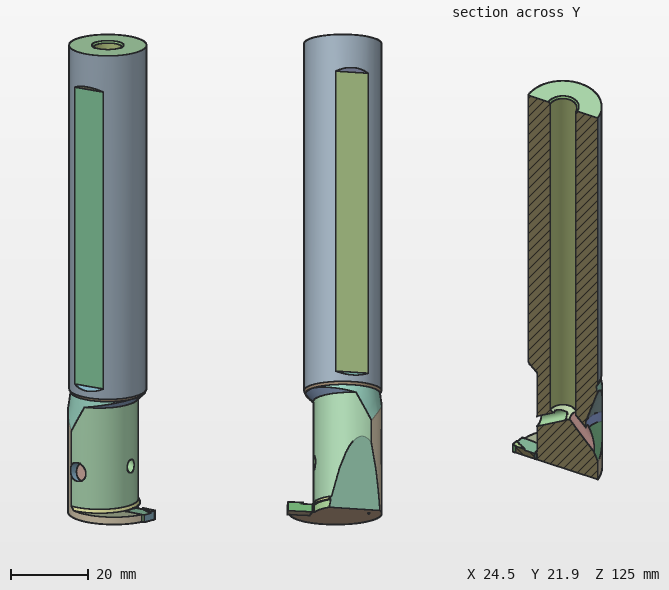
import cadquery as cq
import math

SHANK_RADIUS = 10.0
TOTAL_HEIGHT = 125.0
PIP_HEIGHT = 0.2
SHANK_TOP = TOTAL_HEIGHT - PIP_HEIGHT
SHANK_BOTTOM = 32.7
SHANK_CHAMFER = 0.7

FLAT_DISTANCE = 9.0
FLAT_BOTTOM = 34.5
FLAT_TOP = 116.0
FLAT_DEPTH = SHANK_RADIUS - FLAT_DISTANCE

DISC_RADIUS = 11.9
DISC_OFFSET = DISC_RADIUS - SHANK_RADIUS
DISC_THICKNESS = 2.0
NECK_RADIUS = SHANK_RADIUS
NECK_OFFSET = -2.5
NECK_TOP = 30.0
NECK_FLARE_TOP = SHANK_BOTTOM - SHANK_CHAMFER
NECK_BASE_WIDTH = 0.5
NECK_BASE_HEIGHT = 0.9

TRIM_TOP_RADIUS = 9.6
TRIM_ANGLE = 8.0

RELIEF_TOP_Z = 18.5
RELIEF_BOTTOM_Y = 6.2

BORE_RADIUS = 3.6
BORE_CHAMFER = 0.5
BORE_FLOOR = 18.7
BORE_POINT_HALF_ANGLE = 59.0
BORE_POINT_HEIGHT = BORE_RADIUS / math.tan(math.radians(BORE_POINT_HALF_ANGLE))

POCKET_RADIUS = 6.2
POCKET_Y = -0.7
POCKET_DEPTH = 3.5
POCKET_ENTRY_Z = 30.2
POCKET_INNER_TOP = 18.7
POCKET_INNER_BOTTOM = 15.4
POCKET_EXIT_Z = 6.4

CHANNEL_DIAMETER = 3.0
CHANNEL_OVERRUN = 7.5
POCKET_CHANNEL_START = cq.Vector(0, -1.1, 22.0)
POCKET_CHANNEL_MOUTH = cq.Vector(-6.7, -0.4, 14.1)
SIDE_CHANNEL_START = cq.Vector(0, -0.6, 18.1)
SIDE_CHANNEL_MOUTH = cq.Vector(NECK_RADIUS + NECK_OFFSET, -0.6, 13.2)

RECESS_DIAMETER = 4.9
RECESS_MOUTH = cq.Vector(-3.0, -10.0, 12.4)
RECESS_DIRECTION = cq.Vector(0.2, 1.0, -0.2).normalized()
RECESS_DEPTH = 2.4
RECESS_OVERRUN = 2.5

PIP_RADIUS = 0.2
PIP_X = -6.2
PIP_Y = 2.7

INSERT_TIP_X = 14.5
INSERT_TIP_Y = -0.1
INSERT_ANGLE = -4.5
INSERT_LENGTH = 6.4
INSERT_WIDTH = 4.1
INSERT_END_INSET = 0.5
TIP_LAND = 0.7
TIP_RAISE = 0.4
RAISE_LENGTH = 4.0
RAISE_WIDTH = 1.9


def cylinder(radius, bottom, top, x=0.0):
    return cq.Workplane("XY", origin=(x, 0, bottom)).circle(radius).extrude(top - bottom)


def cone(bottom_radius, top_radius, bottom, top, x=0.0):
    solid = cq.Solid.makeCone(bottom_radius, top_radius, top - bottom, cq.Vector(x, 0, bottom))
    return cq.Workplane("XY").newObject([solid])


def make_shank():
    shank = cylinder(SHANK_RADIUS, SHANK_BOTTOM - SHANK_CHAMFER, SHANK_TOP)
    shank = shank.faces("<Z").chamfer(SHANK_CHAMFER, SHANK_RADIUS - TRIM_TOP_RADIUS)
    for side in (-1, 1):
        flat_cut = (
            cq.Workplane("YZ")
            .polyline([
                (side * SHANK_RADIUS, FLAT_BOTTOM),
                (side * FLAT_DISTANCE, FLAT_BOTTOM + FLAT_DEPTH),
                (side * FLAT_DISTANCE, FLAT_TOP - FLAT_DEPTH),
                (side * SHANK_RADIUS, FLAT_TOP),
            ])
            .close()
            .extrude(SHANK_RADIUS, both=True)
        )
        shank = shank.cut(flat_cut)
    return shank


def make_neck():
    """Lens-shaped neck where the disc and neck cylinders overlap, trimmed by the cone."""
    flare_height = NECK_FLARE_TOP - NECK_TOP
    neck = cylinder(NECK_RADIUS, 0, NECK_TOP, NECK_OFFSET)
    flare = cone(NECK_RADIUS, NECK_RADIUS + flare_height, NECK_TOP, NECK_FLARE_TOP, NECK_OFFSET)
    base_top = DISC_THICKNESS + NECK_BASE_HEIGHT
    base = cone(NECK_RADIUS + NECK_BASE_WIDTH, NECK_RADIUS, DISC_THICKNESS, base_top, NECK_OFFSET)
    trim_growth = NECK_FLARE_TOP * math.tan(math.radians(TRIM_ANGLE))
    trim = cone(TRIM_TOP_RADIUS + trim_growth, TRIM_TOP_RADIUS, 0, NECK_FLARE_TOP)
    envelope = cylinder(DISC_RADIUS, 0, NECK_FLARE_TOP, DISC_OFFSET)
    return neck.union(flare).union(base).intersect(envelope).intersect(trim)


def make_disc():
    """Part of the disc on the -Y side, ending level with the insert tip."""
    disc = cylinder(DISC_RADIUS, 0, DISC_THICKNESS, DISC_OFFSET)
    half = cq.Workplane("XY", origin=(0, INSERT_TIP_Y, 0)).box(
        4 * DISC_RADIUS, 2 * DISC_RADIUS, DISC_THICKNESS, centered=(True, False, False)
    )
    return disc.cut(half)


def make_relief_cut():
    return (
        cq.Workplane("YZ")
        .polyline([
            (RELIEF_BOTTOM_Y, 0),
            (SHANK_RADIUS, RELIEF_TOP_Z),
            (2 * SHANK_RADIUS, RELIEF_TOP_Z),
            (2 * SHANK_RADIUS, 0),
        ])
        .close()
        .extrude(2 * DISC_RADIUS, both=True)
    )


def make_bore():
    bore = cylinder(BORE_RADIUS, BORE_FLOOR, SHANK_TOP)
    point = cone(0, BORE_RADIUS, BORE_FLOOR - BORE_POINT_HEIGHT, BORE_FLOOR)
    mouth = cone(BORE_RADIUS, BORE_RADIUS + BORE_CHAMFER, SHANK_TOP - BORE_CHAMFER, SHANK_TOP)
    return bore.union(point).union(mouth)


def make_pocket():
    """Groove of constant level cross-section that slopes in, runs straight down and slopes out."""
    outer_x = -SHANK_RADIUS - POCKET_RADIUS
    inner_x = outer_x + POCKET_DEPTH
    stations = [
        (2 * outer_x - inner_x, 2 * POCKET_ENTRY_Z - POCKET_INNER_TOP),
        (inner_x, POCKET_INNER_TOP),
        (inner_x, POCKET_INNER_BOTTOM),
        (2 * outer_x - inner_x, 2 * POCKET_EXIT_Z - POCKET_INNER_BOTTOM),
    ]
    pocket = cq.Workplane("XY")
    for (upper_x, upper_z), (lower_x, lower_z) in zip(stations, stations[1:]):
        leg = (
            cq.Workplane(cq.Plane((upper_x, POCKET_Y, upper_z), xDir=(-1, 0, 0)))
            .circle(POCKET_RADIUS)
            .workplane(offset=lower_z - upper_z)
            .center(upper_x - lower_x, 0)
            .circle(POCKET_RADIUS)
            .loft(ruled=True)
        )
        pocket = pocket.union(leg)
    return pocket


def make_channel(start, mouth):
    direction = mouth - start
    length = direction.Length + CHANNEL_OVERRUN
    return cq.Solid.makeCylinder(CHANNEL_DIAMETER / 2, length, start, direction)


def make_recess():
    outer_point = RECESS_MOUTH - RECESS_DIRECTION * RECESS_OVERRUN
    length = RECESS_OVERRUN + RECESS_DEPTH
    return cq.Solid.makeCylinder(RECESS_DIAMETER / 2, length, outer_point, RECESS_DIRECTION)


def make_pip():
    return cone(0, PIP_RADIUS, -PIP_HEIGHT, 0).translate((PIP_X, PIP_Y, 0))


def make_insert():
    """Insert plate with a raised corner at its cutting tip, laid out from the tip and then turned."""
    plate = (
        cq.Workplane("XY")
        .polyline([
            (-INSERT_LENGTH, 0),
            (0, 0),
            (0, -TIP_LAND),
            (-INSERT_END_INSET, -INSERT_WIDTH),
            (-INSERT_LENGTH, -INSERT_WIDTH),
        ])
        .close()
        .extrude(DISC_THICKNESS + TIP_RAISE)
    )
    lowered = (
        cq.Workplane("XY", origin=(0, 0, DISC_THICKNESS))
        .polyline([
            (-INSERT_LENGTH, 0),
            (-RAISE_LENGTH, 0),
            (0, -RAISE_WIDTH),
            (0, -INSERT_WIDTH),
            (-INSERT_LENGTH, -INSERT_WIDTH),
        ])
        .close()
        .extrude(TIP_RAISE)
    )
    turned = plate.cut(lowered).rotate((0, 0, 0), (0, 0, 1), INSERT_ANGLE)
    return turned.translate((INSERT_TIP_X, INSERT_TIP_Y, 0))


def make_holder(insert):
    return (
        make_neck()
        .union(make_shank())
        .union(make_disc())
        .cut(make_relief_cut())
        .union(make_pip())
        .cut(make_bore())
        .cut(make_pocket())
        .cut(make_recess())
        .cut(make_channel(POCKET_CHANNEL_START, POCKET_CHANNEL_MOUTH))
        .cut(make_channel(SIDE_CHANNEL_START, SIDE_CHANNEL_MOUTH))
        .cut(insert)
    )


insert = make_insert()
holder = make_holder(insert)

result = cq.Compound.makeCompound([holder.solids().val(), insert.solids().val()])